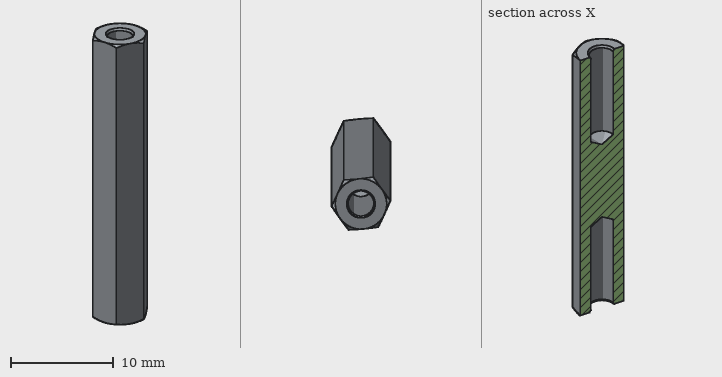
import cadquery as cq
import math

length = 30.0
hex_corner_radius = 2.89

end_face_radius = 5.0 / 2
corner_chamfer_angle = 30.0
corner_chamfer_run = hex_corner_radius - end_face_radius
corner_chamfer_height = corner_chamfer_run * math.tan(math.radians(corner_chamfer_angle))

hole_radius = 2.5 / 2
hole_depth = 10.0
drill_tip_angle = 120.0
drill_tip_height = hole_radius / math.tan(math.radians(drill_tip_angle / 2))
mouth_radius = 2.78 / 2
mouth_chamfer_angle = 30.0
mouth_chamfer_depth = (mouth_radius - hole_radius) / math.tan(math.radians(mouth_chamfer_angle))

def revolve_about_z(points):
    """Solid of revolution of a closed (radius, height) outline."""
    return cq.Workplane("XZ").polyline(points).close().revolve(360, (0, 0), (0, 1))

def hex_bar():
    """Plain hexagonal bar with corners on the X axis."""
    return cq.Workplane("XY").polygon(6, 2 * hex_corner_radius).extrude(length)

def corner_envelope():
    """Round bar with conical ends that bounds the hexagon corners."""
    return revolve_about_z([
        (0, 0),
        (end_face_radius, 0),
        (hex_corner_radius, corner_chamfer_height),
        (hex_corner_radius, length - corner_chamfer_height),
        (end_face_radius, length),
        (0, length),
    ])

def top_hole():
    """Blind drilled hole with a conical tip and a chamfered mouth."""
    return revolve_about_z([
        (0, length),
        (mouth_radius, length),
        (hole_radius, length - mouth_chamfer_depth),
        (hole_radius, length - hole_depth),
        (0, length - hole_depth - drill_tip_height),
    ])

def bottom_hole():
    """The top hole mirrored about the middle of the bar."""
    return top_hole().mirror("XY", (0, 0, length / 2))

result = hex_bar().intersect(corner_envelope()).cut(top_hole()).cut(bottom_hole())